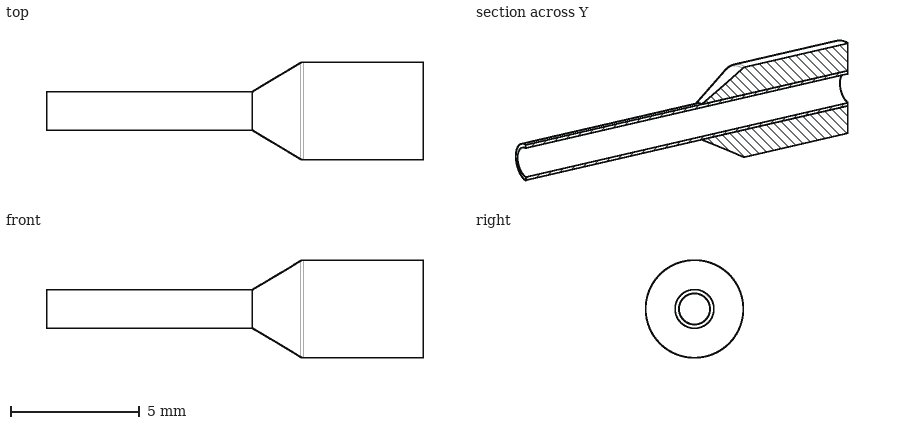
import cadquery as cq

TOTAL_LENGTH = 14.6

TUBE_OUTER_DIAMETER = 1.5
TUBE_BORE_DIAMETER = 1.2

COLLAR_DIAMETER = 3.8
COLLAR_FRONT_X = 7.97
SHOULDER_X = 9.88
SHOULDER_FILLET = 0.23

tube_radius = TUBE_OUTER_DIAMETER / 2
bore_radius = TUBE_BORE_DIAMETER / 2
collar_radius = COLLAR_DIAMETER / 2


def make_tube():
    """Straight open tube running the full length from X = 0."""
    return (
        cq.Workplane("YZ")
        .circle(tube_radius)
        .circle(bore_radius)
        .extrude(TOTAL_LENGTH)
    )


def make_collar():
    """Revolved cone and cylinder around the tube, with a rounded shoulder."""
    blank = (
        cq.Workplane("XY")
        .moveTo(COLLAR_FRONT_X, tube_radius)
        .lineTo(SHOULDER_X, collar_radius)
        .lineTo(TOTAL_LENGTH, collar_radius)
        .lineTo(TOTAL_LENGTH, tube_radius)
        .close()
        .revolve(360, (0, 0, 0), (1, 0, 0))
    )
    shoulder_edge = cq.selectors.CenterNthSelector(cq.Vector(1, 0, 0), 1)
    return blank.edges("%CIRCLE").edges(shoulder_edge).fillet(SHOULDER_FILLET)


tube = make_tube()
collar = make_collar()
result = cq.Compound.makeCompound([tube.val(), collar.val()])